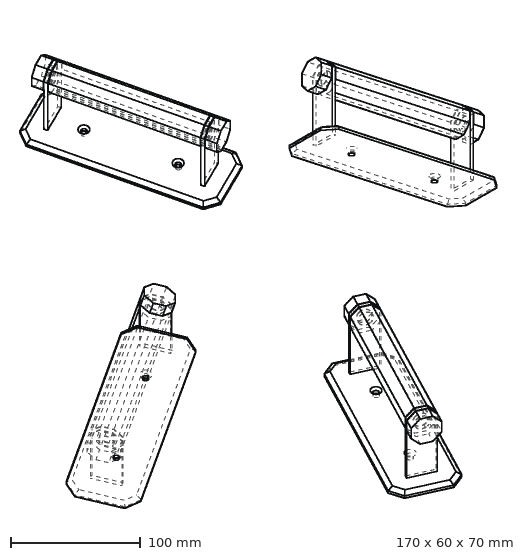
import cadquery as cq
import math

base_length = 170.0
base_width = 60.0
base_thickness = 5.0
base_corner_cut = 10.0
bevel_height = 2.5
bevel_inset = 4.0

hole_spacing = 79.9
hole_diameter = 5.0
sink_diameter = 9.0
sink_angle = 90.0

total_height = 70.0
bar_length = 157.0
bar_width = 25.0
post_thickness = 3.0
post_spacing = 133.0
groove_clearance = 0.5
neck_diameter = bar_width / 2

bar_height = total_height - bar_width / 2
groove_width = post_thickness + 2 * groove_clearance
octagon_cut = bar_width / (2 + math.sqrt(2))
post_centers = (-post_spacing / 2, post_spacing / 2)


def octagonal_prism(start_x, length):
    """Regular octagonal prism along X, centred on the bar axis."""
    return (
        cq.Workplane("YZ", origin=(start_x, 0, bar_height))
        .rect(bar_width, bar_width)
        .extrude(length)
        .edges("|X")
        .chamfer(octagon_cut)
    )


def neck_cylinder(center_x, length):
    """Round neck along X, centred on the bar axis."""
    return (
        cq.Workplane("YZ", origin=(center_x - length / 2, 0, bar_height))
        .circle(neck_diameter / 2)
        .extrude(length)
    )


def make_base():
    """Plate with cut corners, a bevelled top rim and two countersunk holes."""
    rim_height = base_thickness - bevel_height
    bevel_angle = math.degrees(math.atan2(bevel_inset, bevel_height))
    rim = (
        cq.Workplane("XY")
        .rect(base_length, base_width)
        .extrude(rim_height)
        .edges("|Z")
        .chamfer(base_corner_cut)
    )
    rim_top = rim.faces(">Z").wires().toPending().workplane()
    bevel = rim_top.extrude(bevel_height, combine=False, taper=bevel_angle)
    plate = rim.union(bevel)
    return (
        plate.faces(">Z")
        .workplane(origin=(0, 0, base_thickness))
        .pushPoints([(-hole_spacing / 2, 0), (hole_spacing / 2, 0)])
        .cskHole(hole_diameter, sink_diameter, sink_angle)
    )


def make_post(center_x):
    """Upright strap with an octagonal head and a round hole for the bar neck."""
    start_x = center_x - post_thickness / 2
    leg_height = bar_height - base_thickness
    leg = (
        cq.Workplane("XY", origin=(center_x, 0, base_thickness))
        .rect(post_thickness, bar_width)
        .extrude(leg_height)
    )
    return leg.union(octagonal_prism(start_x, post_thickness)).cut(neck_cylinder(center_x, post_thickness))


def make_bracket():
    """Base plate and both posts as one body."""
    bracket = make_base()
    for center_x in post_centers:
        bracket = bracket.union(make_post(center_x))
    return bracket


def make_bar():
    """Octagonal bar, turned down to a round neck where it passes each post."""
    bar = octagonal_prism(-bar_length / 2, bar_length)
    for center_x in post_centers:
        groove = octagonal_prism(center_x - groove_width / 2, groove_width)
        bar = bar.cut(groove.cut(neck_cylinder(center_x, groove_width)))
    return bar


bracket = make_bracket()
bar = make_bar()
result = cq.Compound.makeCompound([bracket.solids().val(), bar.solids().val()])